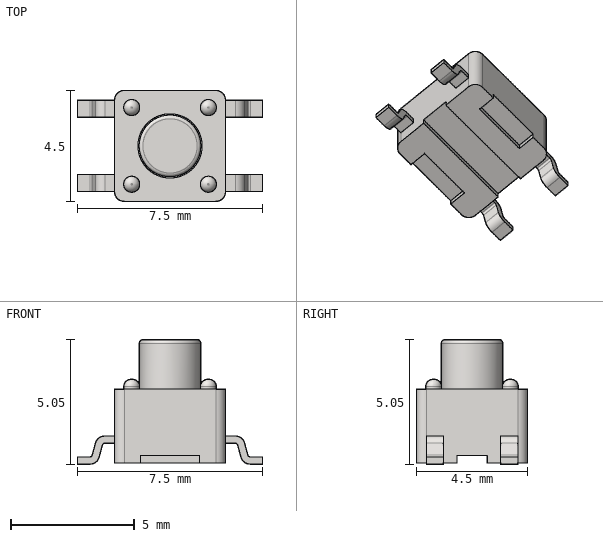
import cadquery as cq
import math

body_side = 4.5
body_height = 3.0
corner_radius = 0.4
cover_thickness = 0.3

button_diameter = 2.5
button_hole_diameter = 2.6
button_top = body_height + 2.0
button_fillet = 0.15

rivet_diameter = 0.65
rivet_height = 0.4
rivet_fillet = 0.3
rivet_offset = 1.55

recess_height = 0.3
channel_width = 1.215
notch_width = 2.4
notch_depth = 0.75

leg_span = 7.5
leg_width = 0.7
leg_thickness = 0.3
leg_standoff = 0.045
leg_top = 1.1
leg_shoulder_length = 0.39
leg_foot_length = 0.5
leg_outer_bend_radius = 0.4
leg_embed = 0.075

half_side = body_side / 2
leg_center_y = half_side - corner_radius - leg_width / 2


def make_body():
    body = (
        cq.Workplane("XY")
        .rect(body_side, body_side)
        .extrude(body_height)
        .edges("|Z")
        .fillet(corner_radius)
    )
    button_hole = (
        cq.Workplane("XY")
        .workplane(offset=body_height - cover_thickness)
        .circle(button_hole_diameter / 2)
        .extrude(cover_thickness)
    )
    channel = cq.Workplane("XY").rect(body_side, channel_width).extrude(recess_height)
    body = body.cut(button_hole).cut(channel)
    for side in (-1, 1):
        notch = (
            cq.Workplane("XY")
            .center(0, side * (half_side - notch_depth / 2))
            .rect(notch_width, notch_depth)
            .extrude(recess_height)
        )
        body = body.cut(notch)
    return body


def make_button():
    base = body_height - cover_thickness
    return (
        cq.Workplane("XY")
        .workplane(offset=base)
        .circle(button_diameter / 2)
        .extrude(button_top - base)
        .faces(">Z")
        .edges()
        .fillet(button_fillet)
    )


def make_rivets():
    return (
        cq.Workplane("XY")
        .workplane(offset=body_height)
        .rect(2 * rivet_offset, 2 * rivet_offset, forConstruction=True)
        .vertices()
        .circle(rivet_diameter / 2)
        .extrude(rivet_height)
        .faces(">Z")
        .edges()
        .fillet(rivet_fillet)
    )


def make_leg():
    """Leg on the +X side, swept along its centerline in the XZ plane at leg_center_y."""
    radius = leg_outer_bend_radius - leg_thickness / 2
    shoulder_z = leg_top - leg_thickness / 2
    foot_z = leg_thickness / 2 - leg_standoff
    tip_x = leg_span / 2
    upper_x = half_side + leg_shoulder_length
    upper_z = shoulder_z - radius
    lower_x = tip_x - leg_foot_length
    lower_z = foot_z + radius

    run = lower_x - upper_x
    drop = upper_z - lower_z
    bend_angle = math.atan2(drop, run) + math.asin(2 * radius / math.hypot(run, drop))

    def upper_bend(angle):
        return (upper_x + radius * math.sin(angle), upper_z + radius * math.cos(angle))

    def lower_bend(angle):
        return (lower_x - radius * math.sin(angle), lower_z - radius * math.cos(angle))

    start_x = half_side - leg_embed
    centerline = (
        cq.Workplane("XZ", origin=(0, leg_center_y, 0))
        .moveTo(start_x, shoulder_z)
        .lineTo(upper_x, shoulder_z)
        .threePointArc(upper_bend(bend_angle / 2), upper_bend(bend_angle))
        .lineTo(*lower_bend(bend_angle))
        .threePointArc(lower_bend(bend_angle / 2), lower_bend(0))
        .lineTo(tip_x, foot_z)
    )
    return (
        cq.Workplane("YZ", origin=(start_x, leg_center_y, shoulder_z))
        .rect(leg_width, leg_thickness)
        .sweep(centerline)
    )


result = make_body().union(make_button()).union(make_rivets())
right_leg = make_leg()
for leg in (right_leg, right_leg.mirror("YZ")):
    result = result.union(leg).union(leg.mirror("XZ"))